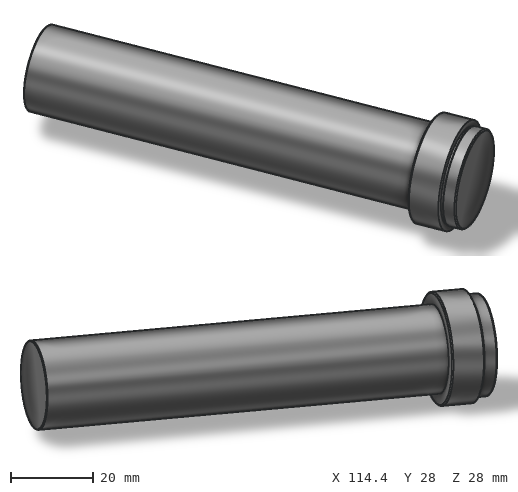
import cadquery as cq

total_length = 114.4
shank_diameter = 22.0
collar_diameter = 28.0
spigot_diameter = 25.3
groove_diameter = 24.7

collar_length = 8.0
groove_width = 0.7
spigot_length = 3.3

collar_chamfer = 0.3
spigot_chamfer = 0.3
shank_chamfer = 0.2

shank_length = total_length - collar_length - groove_width - spigot_length
shank_start = -total_length / 2
collar_start = shank_start + shank_length
groove_start = collar_start + collar_length
spigot_start = groove_start + groove_width


def cylinder(start, length, diameter):
    """Round section along X, beginning at the given X position."""
    return cq.Workplane("YZ", origin=(start, 0, 0)).circle(diameter / 2).extrude(length)


shank = cylinder(shank_start, shank_length, shank_diameter)
shank = shank.faces("<X").chamfer(shank_chamfer)

collar = cylinder(collar_start, collar_length, collar_diameter)
collar = collar.faces("<X").chamfer(collar_chamfer)

groove_core = cylinder(groove_start, groove_width, groove_diameter)

spigot = cylinder(spigot_start, spigot_length, spigot_diameter)
spigot = spigot.faces(">X").chamfer(spigot_chamfer)

result = shank.union(collar).union(groove_core).union(spigot)